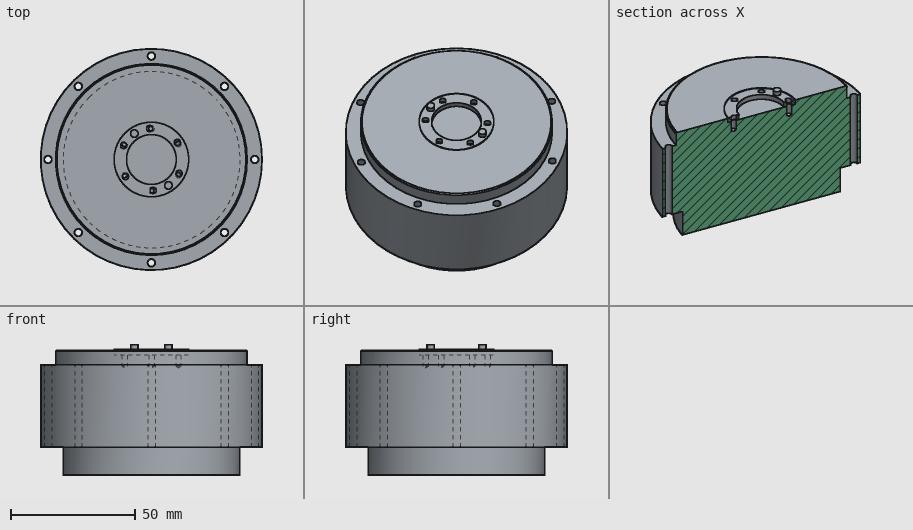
import cadquery as cq
import math

base_diameter = 71.0
base_height = 11.3
flange_diameter = 89.0
flange_height = 33.0
cap_diameter = 77.0
cap_height = 6.0
cap_chamfer = 0.5

mount_hole_count = 8
mount_hole_diameter = 2.9
mount_circle_diameter = 83.0

ring_outer_diameter = 30.0
ring_inner_diameter = 20.0
ring_recess_depth = 2.0
ring_protrusion = 0.3
ring_turn = 3.3

bolt_count = 6
bolt_circle_radius = 12.5
bolt_start_angle = 30.0
ring_hole_diameter = 2.5
blind_hole_diameter = 2.1
blind_hole_depth = 4.45
drill_point_angle = 118.0

pin_count = 2
pin_diameter = 3.0
pin_height = 1.9
pin_start_angle = bolt_start_angle + 90.0 + ring_turn

flange_top = base_height + flange_height
cap_top = flange_top + cap_height
recess_floor = cap_top - ring_recess_depth
ring_thickness = ring_recess_depth + ring_protrusion
ring_top = recess_floor + ring_thickness


def cylinder(diameter, height, bottom):
    return cq.Workplane("XY").workplane(offset=bottom).circle(diameter / 2).extrude(height)


def polar_cylinders(diameter, height, bottom, circle_radius, start_angle, count):
    """Equal upright cylinders spaced evenly around the Z axis."""
    return (
        cq.Workplane("XY")
        .workplane(offset=bottom)
        .polarArray(circle_radius, start_angle, 360, count)
        .circle(diameter / 2)
        .extrude(height)
    )


def drilled_hole(angle):
    """Cutter for a blind hole with a conical end, drilled from the recess floor."""
    radius = blind_hole_diameter / 2
    point_depth = radius / math.tan(math.radians(drill_point_angle / 2))
    cutter = (
        cq.Workplane("XZ")
        .moveTo(0, 0)
        .lineTo(radius, 0)
        .lineTo(radius, -blind_hole_depth)
        .lineTo(0, -blind_hole_depth - point_depth)
        .close()
        .revolve(360, (0, 0, 0), (0, 1, 0))
    )
    return cutter.translate((bolt_circle_radius, 0, recess_floor)).rotate((0, 0, 0), (0, 0, 1), angle)


def make_housing():
    base = cylinder(base_diameter, base_height, 0)
    flange = cylinder(flange_diameter, flange_height, base_height)
    cap = cylinder(cap_diameter, cap_height, flange_top).faces(">Z").chamfer(cap_chamfer)
    mount_holes = polar_cylinders(
        mount_hole_diameter, flange_height, base_height, mount_circle_diameter / 2, 0, mount_hole_count
    )
    recess = cylinder(ring_outer_diameter, ring_recess_depth, recess_floor)
    housing = base.union(flange).union(cap).cut(mount_holes).cut(recess)
    for index in range(bolt_count):
        housing = housing.cut(drilled_hole(bolt_start_angle + index * 360 / bolt_count))
    return housing


def make_output_ring():
    ring = cylinder(ring_outer_diameter, ring_thickness, recess_floor)
    bore = cylinder(ring_inner_diameter, ring_thickness, recess_floor)
    bolt_holes = polar_cylinders(
        ring_hole_diameter,
        ring_thickness,
        recess_floor,
        bolt_circle_radius,
        bolt_start_angle + ring_turn,
        bolt_count,
    )
    pins = polar_cylinders(
        pin_diameter, pin_height, ring_top, bolt_circle_radius, pin_start_angle, pin_count
    )
    return ring.cut(bore).cut(bolt_holes).union(pins)


housing = make_housing()
output_ring = make_output_ring()

result = cq.Compound.makeCompound([housing.val(), output_ring.val()])